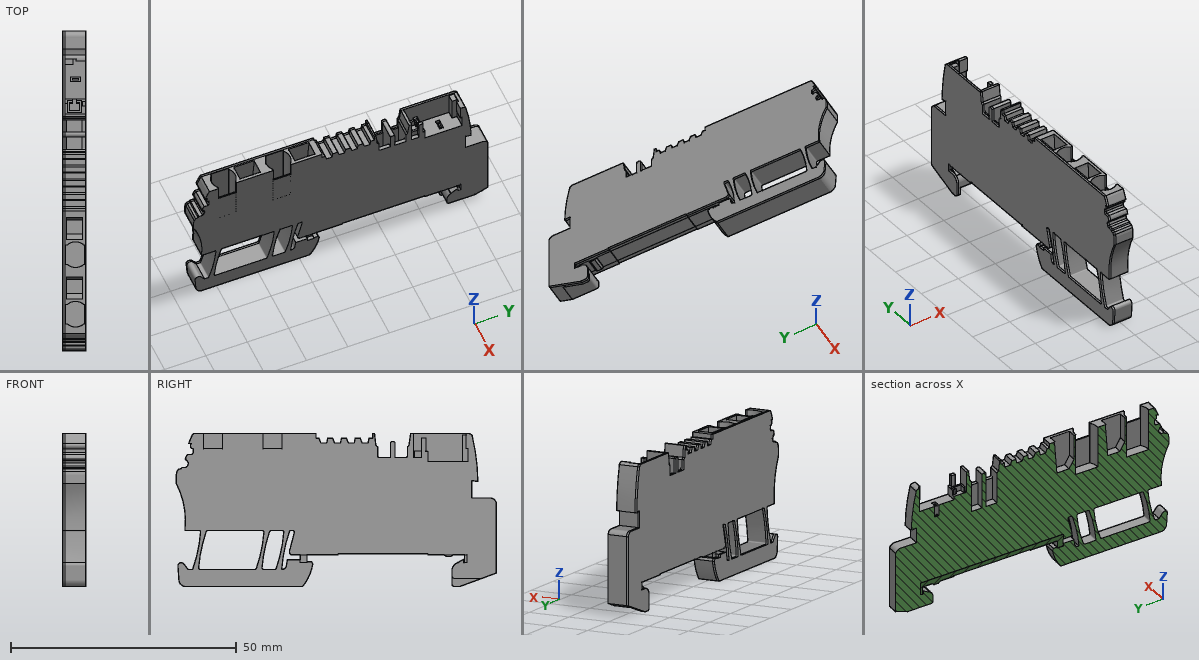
import cadquery as cq

WIDTH = 5.1
LENGTH = 71.05
HEIGHT = 34.0
COVER_THICKNESS = 0.5
BACK = LENGTH / 2
FRONT = -LENGTH / 2

SHOULDER_Z = 19.7
RAIL_Z = 7.0
RELIEF_Z = 7.25
WEB_TOP_Z = 12.4
FOOT_TOP_Z = 3.85
SIDE_OPENING_Z = 30.6

HOOK_SEAT_Y = 29.0
HOOK_SEAT_Z = 5.3
HOOK_TIP_Y = 25.65
HOOK_RIM_X = 1.0
HOOK_UNDERSIDE_Z = 1.85
CLAMP_Y = -6.5
LEG_LENGTH = 1.55
WEB_OFFSETS = (0.0, -4.4, -18.5)
WEB_CORNER_RADIUS = 0.3

BRIDGE_FLOOR_Z = 28.7
BRIDGE_BACK_Y = 15.8
BRIDGE_FRONT_Y = 9.25
BRIDGE_STEP_Z = 31.0
FIN_BACK_Y = 13.1
FIN_THICKNESS = 1.1
FIN_TOP_Z = 32.25
BRIDGE_POCKET_DEPTH = 5.7
POCKET_X = (0.85, 4.25)

COMB_BACK_Y = 8.1
COMB_FRONT_Y = -4.5
TOOTH_TOP_Z = 33.0
VALLEY_Z = 31.9
VALLEY_COUNT = 4
VALLEY_PITCH = 3.05
FIRST_VALLEY_Y = 7.0
VALLEY_WIDTH = 1.3

ENTRY_PITCH = 13.2
ENTRY_COUNT = 2
ENTRY_X = (0.85, 4.4)
ENTRY_BACK_Y = -5.9
ENTRY_LENGTH = 4.9
ENTRY_LIP = 0.9
ENTRY_DEPTH = 8.5
TOOL_HOLE_Y = -14.15
TOOL_HOLE_X = 2.85
TOOL_HOLE_RADIUS = 2.85
TOOL_HOLE_DEPTH = 10.65
TOOL_HOLE_NEAR_X = 0.65
TOOL_HOLE_FAR_X = 4.8
TOOL_SLOT_WIDTH = 4.25

POCKET_BACK_Y = 29.3
POCKET_FRONT_Y = 17.1
POCKET_FLOOR_Z = 27.8
LEDGE_Z = 28.7
RIB_BACK_Y = 20.4
RIB_FRONT_Y = 19.4
RIB_EDGE_Z = 30.0
RIB_CROWN_Z = 30.05
STOP_X = 2.3
STOP_LENGTH = 1.2
STOP_TOP_Z = 33.7
LIP_X = 3.0
LIP_THICKNESS = 0.4
SIDE_WALL_X = 4.3
SIDE_WALL_BACK_Y = 19.9
SIDE_WALL_FRONT_Y = 18.9
SIDE_WALL_TOP_Z = 33.0

BLADE_X = 2.85
BLADE_Y = 24.8
BLADE_SLOT = (2.3, 0.9, 2.85)
BLADE_SIZE = (1.3, 0.35, 2.6)
SOCKET_X = (1.1, 4.2)
SOCKET_Y = (17.4, 20.1)
SOCKET_WALL = 0.4
SOCKET_MOUTH = 0.9
SOCKET_TOP_Z = 30.1

CONTACT_X = (1.15, 4.25)
CONTACT_THICKNESS = 1.1
HOOK_LEG_LENGTH = 0.6
BUMP_Y = 24.95
BUMP_BASE = 2.0
BUMP_TIP = 1.1
BUMP_Z = 6.7


def prism(outline, x_start, x_end):
    """Extrude a closed outline of the YZ plane between two X positions."""
    return outline.extrude(x_end - x_start).translate((x_start, 0, 0))


def polygon(points, x_start, x_end):
    return prism(cq.Workplane("YZ").polyline(points).close(), x_start, x_end)


def block(x_range, y_range, z_range):
    """Box between two limits along each axis."""
    low = (x_range[0], y_range[0], z_range[0])
    size = (x_range[1] - x_range[0], y_range[1] - y_range[0], z_range[1] - z_range[0])
    return cq.Workplane("XY").box(*size, centered=False).translate(low)


def upper_body(x_start, x_end):
    """Main plate with the fixed rail hook, before its top and front edge are notched."""
    outline = (
        cq.Workplane("YZ")
        .moveTo(BACK, 3.0)
        .lineTo(BACK, SHOULDER_Z - 1.0)
        .threePointArc((BACK - 0.5, SHOULDER_Z - 0.3), (BACK - 1.55, SHOULDER_Z))
        .lineTo(30.1, SHOULDER_Z)
        .lineTo(30.1, 23.5)
        .lineTo(31.5, 23.3)
        .threePointArc((31.1, 28.4), (30.2, HEIGHT - 0.5))
        .threePointArc((29.85, HEIGHT - 0.16), (POCKET_BACK_Y, HEIGHT))
        .lineTo(-31.7, HEIGHT)
        .lineTo(-32.05, 33.55)
        .lineTo(-32.7, 32.05)
        .lineTo(-33.7, 28.2)
        .lineTo(-34.25, 26.5)
        .lineTo(-34.45, 26.2)
        .lineTo(-35.0, 26.1)
        .lineTo(-35.4, 25.6)
        .lineTo(FRONT, 24.9)
        .lineTo(FRONT, 22.9)
        .threePointArc((-33.8, 17.9), (-33.6, 12.8))
        .lineTo(-33.6, WEB_TOP_Z)
        .lineTo(-9.25, WEB_TOP_Z)
        .lineTo(-10.3, 8.25)
        .threePointArc((-10.4, 7.45), (-10.0, RAIL_Z))
        .lineTo(0.4, RAIL_Z)
        .lineTo(0.4, RELIEF_Z)
        .lineTo(20.3, RELIEF_Z)
        .lineTo(20.3, RAIL_Z)
        .lineTo(HOOK_SEAT_Y, RAIL_Z)
        .lineTo(HOOK_SEAT_Y, HOOK_SEAT_Z)
        .lineTo(27.15, HOOK_SEAT_Z)
        .threePointArc((26.2, 4.8), (HOOK_TIP_Y, 3.7))
        .lineTo(HOOK_TIP_Y, 0.6)
        .threePointArc((HOOK_TIP_Y + 0.2, 0.15), (HOOK_TIP_Y + 0.7, 0))
        .lineTo(27.4, 0)
        .close()
    )
    return prism(outline, x_start, x_end)


def foot(x_start, x_end):
    """Movable foot bar with its latch and its release hook."""
    outline = (
        cq.Workplane("YZ")
        .moveTo(-7.45, 0)
        .threePointArc((-6.1, 2.1), (-5.2, 5.0))
        .lineTo(-5.5, 5.55)
        .lineTo(CLAMP_Y, 5.55)
        .lineTo(CLAMP_Y, HOOK_SEAT_Z)
        .lineTo(CLAMP_Y - LEG_LENGTH, HOOK_SEAT_Z)
        .lineTo(CLAMP_Y - LEG_LENGTH, 6.0)
        .lineTo(-10.9, 6.0)
        .lineTo(-11.1, 4.7)
        .threePointArc((-11.45, 4.05), (-12.1, FOOT_TOP_Z))
        .lineTo(-32.9, FOOT_TOP_Z)
        .lineTo(-33.8, 5.05)
        .threePointArc((-34.5, 5.3), (-35.2, 4.6))
        .lineTo(-34.95, 1.35)
        .threePointArc((-34.5, 0.5), (-33.7, 0))
        .close()
    )
    return prism(outline, x_start, x_end)


def web(offset, x_start, x_end):
    """Curved spring web that joins the foot to the body."""
    overlap = 0.2
    outline = (
        cq.Workplane("YZ")
        .moveTo(offset - 10.3, WEB_TOP_Z + overlap)
        .lineTo(offset - 10.3, WEB_TOP_Z)
        .threePointArc((offset - 11.3, 9.0), (offset - 12.1, FOOT_TOP_Z))
        .lineTo(offset - 12.1, FOOT_TOP_Z - overlap)
        .lineTo(offset - 13.4, FOOT_TOP_Z - overlap)
        .lineTo(offset - 13.4, FOOT_TOP_Z)
        .threePointArc((offset - 12.2, 8.2), (offset - 11.65, WEB_TOP_Z))
        .lineTo(offset - 11.65, WEB_TOP_Z + overlap)
        .close()
    )
    return prism(outline, x_start, x_end)


def bridge_slots(x_start, x_end):
    """Recess for the two cross bridges; a thin round-topped fin is left between them."""
    recess = polygon(
        [
            (16.5, HEIGHT),
            (16.1, 31.4),
            (BRIDGE_BACK_Y, BRIDGE_STEP_Z),
            (BRIDGE_BACK_Y, BRIDGE_FLOOR_Z),
            (BRIDGE_FRONT_Y, BRIDGE_FLOOR_Z),
            (BRIDGE_FRONT_Y, BRIDGE_STEP_Z),
            (8.8, 31.4),
            (8.5, HEIGHT),
        ],
        x_start,
        x_end,
    )
    recess = recess.edges("|X").edges("<Z").fillet(0.3)
    fin_front_y = FIN_BACK_Y - FIN_THICKNESS
    fin_outline = (
        cq.Workplane("YZ")
        .moveTo(FIN_BACK_Y, BRIDGE_FLOOR_Z)
        .lineTo(FIN_BACK_Y, FIN_TOP_Z - 0.3)
        .threePointArc(((FIN_BACK_Y + fin_front_y) / 2, FIN_TOP_Z), (fin_front_y, FIN_TOP_Z - 0.3))
        .lineTo(fin_front_y, BRIDGE_FLOOR_Z)
        .close()
    )
    return recess.cut(prism(fin_outline, x_start, x_end))


def comb(x_start, x_end):
    """Recess of the marker teeth with a row of tapered valleys."""
    x_range = (x_start, x_end)
    recess = block(x_range, (COMB_FRONT_Y, COMB_BACK_Y), (TOOTH_TOP_Z, HEIGHT))
    for index in range(VALLEY_COUNT):
        back_y = FIRST_VALLEY_Y - index * VALLEY_PITCH
        front_y = back_y - VALLEY_WIDTH
        valley = [
            (back_y + 0.2, TOOTH_TOP_Z),
            (back_y, VALLEY_Z),
            (front_y, VALLEY_Z),
            (front_y - 0.4, TOOTH_TOP_Z),
        ]
        recess = recess.union(polygon(valley, x_start, x_end))
    return recess


def grip_notches(x_start, x_end):
    """Two hooked notches in the upper front edge."""
    upper = (
        cq.Workplane("YZ")
        .moveTo(-33.75, 31.75)
        .lineTo(-32.2, 31.75)
        .threePointArc((-32.4, 31.2), (-32.1, 30.7))
        .lineTo(-31.75, 30.55)
        .lineTo(-31.75, 29.8)
        .lineTo(-32.05, 29.35)
        .lineTo(-33.0, 29.35)
        .threePointArc((-33.3, 28.9), (-33.5, 28.3))
        .lineTo(-34.8, 28.3)
        .close()
    )
    lower = (
        cq.Workplane("YZ")
        .moveTo(-34.8, 28.3)
        .lineTo(-33.6, 28.3)
        .lineTo(-33.2, 28.0)
        .lineTo(-32.8, 27.4)
        .lineTo(-33.05, 26.8)
        .lineTo(-33.4, 26.5)
        .lineTo(-34.8, 26.5)
        .close()
    )
    return prism(upper, x_start, x_end).union(prism(lower, x_start, x_end))


def profile(x_start, x_end):
    plate = upper_body(x_start, x_end).union(foot(x_start, x_end))
    for offset in WEB_OFFSETS:
        plate = plate.union(web(offset, x_start, x_end))
    for recess in (bridge_slots, comb, grip_notches):
        plate = plate.cut(recess(x_start, x_end))
    for corners in (window_corners(WEB_TOP_Z, -8.9), window_corners(FOOT_TOP_Z, -12.8)):
        plate = plate.edges("|X").edges(corners).fillet(WEB_CORNER_RADIUS)
    return plate


def window_corners(level_z, rear_limit_y):
    """Selector for the edges at one level of the openings between the webs."""
    tolerance = 0.1
    front_limit_y = -32.0
    return cq.selectors.BoxSelector(
        (-0.7, front_limit_y, level_z - tolerance),
        (WIDTH + 0.7, rear_limit_y, level_z + tolerance),
    )


def bridge_pockets():
    """Deep pockets under the two bridge slots, closed at both sides."""
    z_range = (BRIDGE_FLOOR_Z - BRIDGE_POCKET_DEPTH, BRIDGE_FLOOR_Z + 0.35)
    rear = block(POCKET_X, (FIN_BACK_Y, BRIDGE_BACK_Y), z_range)
    fore = block(POCKET_X, (BRIDGE_FRONT_Y, FIN_BACK_Y - FIN_THICKNESS), z_range)
    return rear.union(fore)


def wire_entry(back_y):
    """Rectangular funnel for one conductor."""
    front_y = back_y - ENTRY_LENGTH
    floor_z = HEIGHT - ENTRY_DEPTH
    funnel = [
        (back_y, HEIGHT),
        (back_y, HEIGHT - ENTRY_LIP),
        (back_y - 0.6, floor_z),
        (front_y + 1.3, floor_z),
        (front_y, floor_z + 2.1),
        (front_y, HEIGHT),
    ]
    return polygon(funnel, *ENTRY_X)


def tool_hole(center_y):
    """Round screwdriver hole, crossed by a slot, that breaks out through the far side near its top."""
    y_range = (center_y - TOOL_HOLE_RADIUS, center_y + TOOL_HOLE_RADIUS)
    bottom_z = HEIGHT - TOOL_HOLE_DEPTH
    bore = (
        cq.Workplane("XY", origin=(TOOL_HOLE_X, center_y, bottom_z))
        .circle(TOOL_HOLE_RADIUS)
        .extrude(TOOL_HOLE_DEPTH)
    )
    cross_slot = block(
        (TOOL_HOLE_NEAR_X, WIDTH + 0.7),
        (center_y - TOOL_SLOT_WIDTH / 2, center_y + TOOL_SLOT_WIDTH / 2),
        (bottom_z, HEIGHT),
    )
    shaft = block((TOOL_HOLE_NEAR_X, TOOL_HOLE_FAR_X), y_range, (bottom_z, HEIGHT))
    opening = block((TOOL_HOLE_NEAR_X, WIDTH + 0.7), y_range, (SIDE_OPENING_Z, HEIGHT))
    return bore.union(cross_slot).intersect(shaft.union(opening))


def socket_mouth_x():
    """X limits of the gap in the rib that lines up with the mouth of the test socket."""
    middle_x = sum(SOCKET_X) / 2
    return (middle_x - SOCKET_MOUTH / 2, middle_x + SOCKET_MOUTH / 2)


def marker_pocket():
    """Open pocket between the end wall and the bridge slots, with a rib, a ledge, a stop and a lip."""
    outline = (
        cq.Workplane("YZ")
        .moveTo(POCKET_BACK_Y, HEIGHT)
        .lineTo(POCKET_BACK_Y, POCKET_FLOOR_Z)
        .lineTo(RIB_BACK_Y, POCKET_FLOOR_Z)
        .lineTo(RIB_BACK_Y, RIB_EDGE_Z)
        .threePointArc(((RIB_BACK_Y + RIB_FRONT_Y) / 2, RIB_CROWN_Z), (RIB_FRONT_Y, RIB_EDGE_Z))
        .lineTo(RIB_FRONT_Y, LEDGE_Z)
        .lineTo(POCKET_FRONT_Y, LEDGE_Z)
        .lineTo(POCKET_FRONT_Y, HEIGHT)
        .close()
    )
    pocket = prism(outline, COVER_THICKNESS, WIDTH)
    rib_gap = block(socket_mouth_x(), (RIB_FRONT_Y, RIB_BACK_Y), (LEDGE_Z, HEIGHT))
    pocket = pocket.union(rib_gap)
    stop = block(
        (COVER_THICKNESS, STOP_X),
        (POCKET_BACK_Y - STOP_LENGTH, POCKET_BACK_Y),
        (POCKET_FLOOR_Z, STOP_TOP_Z),
    )
    lip = block(
        (LIP_X, WIDTH),
        (POCKET_BACK_Y - LIP_THICKNESS, POCKET_BACK_Y),
        (SIDE_OPENING_Z, HEIGHT),
    )
    side_wall = block(
        (SIDE_WALL_X, WIDTH),
        (SIDE_WALL_FRONT_Y, SIDE_WALL_BACK_Y),
        (POCKET_FLOOR_Z, SIDE_WALL_TOP_Z),
    )
    return pocket.cut(stop).cut(lip).cut(side_wall)


def hook_undercut():
    """Removes the lower part of the housing hook beyond its rim and rounds the corner left there."""
    corner_radius = 0.6
    outline = (
        cq.Workplane("YZ")
        .moveTo(HOOK_TIP_Y, HOOK_UNDERSIDE_Z + corner_radius)
        .threePointArc(
            (HOOK_TIP_Y + 0.3 * corner_radius, HOOK_UNDERSIDE_Z + 0.3 * corner_radius),
            (HOOK_TIP_Y + corner_radius, HOOK_UNDERSIDE_Z),
        )
        .lineTo(BACK, HOOK_UNDERSIDE_Z)
        .lineTo(BACK, -0.7)
        .lineTo(HOOK_TIP_Y - 0.7, -0.7)
        .lineTo(HOOK_TIP_Y - 0.7, HOOK_UNDERSIDE_Z + corner_radius)
        .close()
    )
    return prism(outline, HOOK_RIM_X, WIDTH)


def blade_slot():
    length, width, depth = BLADE_SLOT
    return (
        cq.Workplane("XY", origin=(BLADE_X, BLADE_Y, POCKET_FLOOR_Z - depth))
        .rect(length, width)
        .extrude(depth)
    )


def make_rail_contact():
    """Metal strip under the housing with a leg at each rail edge and a bump that presses on the rail."""
    leg_top = RELIEF_Z + CONTACT_THICKNESS
    foot_end_y = CLAMP_Y - LEG_LENGTH
    strip = block(CONTACT_X, (foot_end_y, HOOK_SEAT_Y), (RELIEF_Z, leg_top))
    foot_leg = block(CONTACT_X, (foot_end_y, CLAMP_Y), (HOOK_SEAT_Z, leg_top))
    hook_leg = block(CONTACT_X, (HOOK_SEAT_Y - HOOK_LEG_LENGTH, HOOK_SEAT_Y), (HOOK_SEAT_Z, leg_top))
    bump = polygon(
        [
            (BUMP_Y - BUMP_BASE / 2, RELIEF_Z),
            (BUMP_Y - BUMP_BASE / 2, RAIL_Z),
            (BUMP_Y - BUMP_TIP / 2, BUMP_Z),
            (BUMP_Y + BUMP_TIP / 2, BUMP_Z),
            (BUMP_Y + BUMP_BASE / 2, RAIL_Z),
            (BUMP_Y + BUMP_BASE / 2, RELIEF_Z),
        ],
        *CONTACT_X,
    )
    return strip.union(foot_leg).union(hook_leg).union(bump)


def make_test_socket():
    """C-shaped metal sleeve that stands on the ledge, its mouth toward the end wall."""
    z_range = (LEDGE_Z, SOCKET_TOP_Z)
    inner_x = (SOCKET_X[0] + SOCKET_WALL, SOCKET_X[1] - SOCKET_WALL)
    inner_y = (SOCKET_Y[0] + SOCKET_WALL, SOCKET_Y[1] - SOCKET_WALL)
    sleeve = block(SOCKET_X, SOCKET_Y, z_range)
    sleeve = sleeve.cut(block(inner_x, inner_y, z_range))
    return sleeve.cut(block(socket_mouth_x(), (inner_y[0], SOCKET_Y[1]), z_range))


def make_test_blade():
    length, width, height = BLADE_SIZE
    bottom_z = POCKET_FLOOR_Z - BLADE_SLOT[2]
    return (
        cq.Workplane("XY", origin=(BLADE_X, BLADE_Y, bottom_z))
        .rect(length, width)
        .extrude(height)
    )


def make_cover():
    return profile(0, COVER_THICKNESS)


def make_housing(rail_contact, test_socket):
    body = profile(COVER_THICKNESS, WIDTH)
    hook_barb = [(28.35, HOOK_SEAT_Z - 0.2), (28.35, 6.1), (26.5, HOOK_SEAT_Z - 0.2)]
    body = body.union(polygon(hook_barb, COVER_THICKNESS, WIDTH))
    body = body.cut(hook_undercut()).cut(marker_pocket()).cut(blade_slot()).cut(bridge_pockets())
    for index in range(ENTRY_COUNT):
        shift = index * ENTRY_PITCH
        body = body.cut(wire_entry(ENTRY_BACK_Y - shift))
        body = body.cut(tool_hole(TOOL_HOLE_Y - shift))
    return body.cut(rail_contact).cut(test_socket)


rail_contact = make_rail_contact()
test_socket = make_test_socket()
test_blade = make_test_blade()
cover = make_cover()
housing = make_housing(rail_contact, test_socket)

result = cq.Compound.makeCompound(
    [cover.val(), housing.val(), rail_contact.val(), test_socket.val(), test_blade.val()]
)